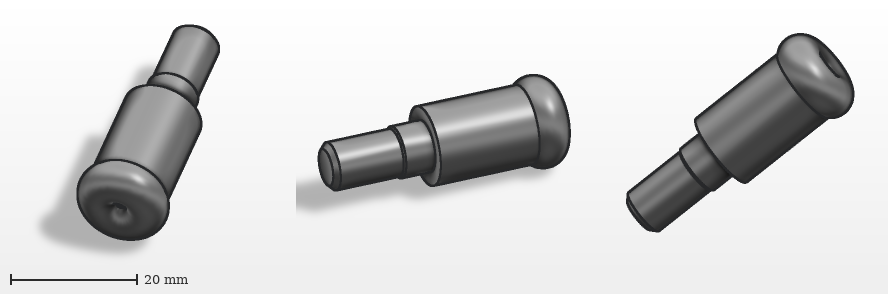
import cadquery as cq
import math

length = 40.0
head_diameter = 15.0
bead_radius = 3.5
body_radius = 6.5
body_length = 17.0
collar_radius = 4.25
collar_length = 5.0
pin_radius = 3.9
tip_chamfer = 0.9
dimple_floor_radius = 0.7

bead_center = head_diameter / 2 - bead_radius


def bead_offset(radius):
    """Axial distance from the bead centre to its surface at a given radius."""
    return math.sqrt(bead_radius**2 - (radius - bead_center) ** 2)


bead_y = bead_radius
dimple_y = bead_y - bead_offset(dimple_floor_radius)
head_end = bead_y + bead_offset(body_radius)
body_end = head_end + body_length
collar_end = body_end + collar_length
collar_taper_end = collar_end + (collar_radius - pin_radius)

profile = (
    cq.Workplane("XY")
    .moveTo(0, dimple_y)
    .lineTo(dimple_floor_radius, dimple_y)
    .threePointArc((bead_center, 0), (body_radius, head_end))
    .lineTo(body_radius, body_end)
    .lineTo(collar_radius, body_end)
    .lineTo(collar_radius, collar_end)
    .lineTo(pin_radius, collar_taper_end)
    .lineTo(pin_radius, length - tip_chamfer)
    .lineTo(pin_radius - tip_chamfer, length)
    .lineTo(0, length)
    .close()
)

result = profile.revolve(360, (0, 0, 0), (0, 1, 0))